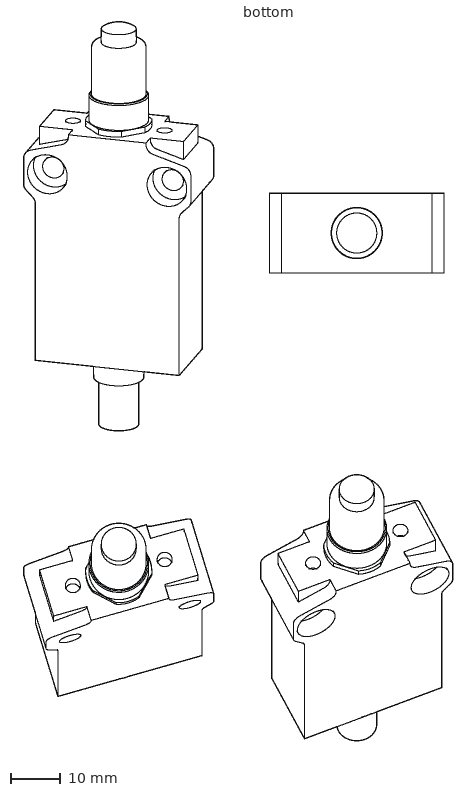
import cadquery as cq
import math

CABLE_LENGTH = 10.0
BOOT_HEIGHT = 4.8
HOUSING_BOTTOM = CABLE_LENGTH + BOOT_HEIGHT
HOUSING_HEIGHT = 49.0
HOUSING_TOP = HOUSING_BOTTOM + HOUSING_HEIGHT
OVERALL_HEIGHT = 85.6

THICKNESS = 16.0
BODY_HALF_WIDTH = 15.1
EAR_SPAN = 35.0
EAR_HALF_WIDTH = EAR_SPAN / 2
EAR_FLARE = EAR_HALF_WIDTH - BODY_HALF_WIDTH
EAR_DROP = 12.2
EAR_BOTTOM = HOUSING_TOP - EAR_DROP
FLARE_BOTTOM = EAR_BOTTOM - EAR_FLARE
EAR_BLEND_RADIUS = 1.7
EAR_CORNER_RADIUS = 2.0

SHOULDER_WALL_X = 8.1
SHOULDER_DROP = 3.85
SHOULDER_ANGLE = 16.0
TONGUE_THICKNESS = 10.0

MOUNT_HOLE_X = 12.5
MOUNT_HOLE_DROP = 8.9
MOUNT_HOLE_DIAMETER = 4.45
COUNTERBORE_DIAMETER = 8.3
COUNTERBORE_DEPTH = 4.0
SCREW_HOLE_X = 9.6
SCREW_HOLE_DIAMETER = 3.0
SCREW_HOLE_DEPTH = 4.0

FLANGE_HEIGHT = 1.2
FLANGE_DIAMETER = 13.3
FLANGE_ACROSS_FLATS = 12.15
FLANGE_TURN = 45.0
COLLAR_RADIUS = 6.0
COLLAR_HEIGHT = 6.8
COLLAR_TOP = HOUSING_TOP + COLLAR_HEIGHT
COLLAR_CHAMFER = 0.25
SLEEVE_RADIUS = 5.5
SLEEVE_TOP = 81.6
SLEEVE_ROUND = 1.0
PLUNGER_RADIUS = 3.5
PLUNGER_EDGE = 84.5
DOME_RISE = OVERALL_HEIGHT - PLUNGER_EDGE

BOOT_TOP_RADIUS = 5.1
BOOT_BOTTOM_RADIUS = 5.05
CABLE_RADIUS = 4.0


def shoulder_height(x):
    """Height of the sloping shoulder plane at distance x from the centre."""
    slope = math.tan(math.radians(SHOULDER_ANGLE))
    return HOUSING_TOP - SHOULDER_DROP - (x - BODY_HALF_WIDTH) * slope


def extrude_outline(points, thickness):
    """Extrude an XZ outline along Y, centred on the XZ plane."""
    return cq.Workplane("XZ").polyline(points).close().extrude(thickness / 2, both=True)


def round_edges_at(body, x, z, radius):
    """Round the Y-parallel edges that stand at (+x, z) and (-x, z)."""
    for side in (-1, 1):
        body = body.edges(cq.selectors.NearestToPointSelector((side * x, 0, z))).fillet(radius)
    return body


def make_profile_plate():
    """Housing plate with flared ears below two sloping shoulders."""
    right_side = [
        (BODY_HALF_WIDTH, HOUSING_BOTTOM),
        (BODY_HALF_WIDTH, FLARE_BOTTOM),
        (EAR_HALF_WIDTH, EAR_BOTTOM),
        (EAR_HALF_WIDTH, shoulder_height(EAR_HALF_WIDTH)),
        (SHOULDER_WALL_X, shoulder_height(SHOULDER_WALL_X)),
        (SHOULDER_WALL_X, HOUSING_TOP),
    ]
    left_side = [(-x, z) for x, z in reversed(right_side)]
    plate = extrude_outline(right_side + left_side, THICKNESS)
    plate = round_edges_at(plate, BODY_HALF_WIDTH, FLARE_BOTTOM, EAR_BLEND_RADIUS)
    plate = round_edges_at(plate, EAR_HALF_WIDTH, EAR_BOTTOM, EAR_BLEND_RADIUS)
    plate = round_edges_at(plate, EAR_HALF_WIDTH, shoulder_height(EAR_HALF_WIDTH), EAR_CORNER_RADIUS)
    return round_edges_at(plate, SHOULDER_WALL_X, shoulder_height(SHOULDER_WALL_X), EAR_CORNER_RADIUS)


def make_tongue():
    """Bar that keeps the middle of the housing full height out to the body sides."""
    return (
        cq.Workplane("XY")
        .workplane(offset=EAR_BOTTOM)
        .rect(2 * BODY_HALF_WIDTH, TONGUE_THICKNESS)
        .extrude(EAR_DROP)
    )


def cut_mounting_holes(housing):
    """Through holes along Y, counterbored on the -Y face."""
    hole_origin = (0, -THICKNESS / 2, HOUSING_TOP - MOUNT_HOLE_DROP)
    return (
        housing.copyWorkplane(cq.Workplane("XZ", origin=hole_origin))
        .pushPoints([(-MOUNT_HOLE_X, 0), (MOUNT_HOLE_X, 0)])
        .cboreHole(MOUNT_HOLE_DIAMETER, COUNTERBORE_DIAMETER, COUNTERBORE_DEPTH)
    )


def cut_screw_holes(housing):
    """Blind holes in the top face, one on each side of the head."""
    return (
        housing.copyWorkplane(cq.Workplane("XY", origin=(0, 0, HOUSING_TOP)))
        .pushPoints([(-SCREW_HOLE_X, 0), (SCREW_HOLE_X, 0)])
        .hole(SCREW_HOLE_DIAMETER, SCREW_HOLE_DEPTH)
    )


def make_housing():
    housing = make_profile_plate().union(make_tongue())
    return cut_screw_holes(cut_mounting_holes(housing))


def make_flange():
    """Round flange with four flats, turned to face the housing corners."""
    base = cq.Workplane("XY").workplane(offset=HOUSING_TOP)
    disc = base.circle(FLANGE_DIAMETER / 2).extrude(FLANGE_HEIGHT)
    square = base.rect(FLANGE_ACROSS_FLATS, FLANGE_ACROSS_FLATS).extrude(FLANGE_HEIGHT)
    return disc.intersect(square.rotate((0, 0, 0), (0, 0, 1), FLANGE_TURN))


def make_head():
    """Flange, collar, sleeve and domed plunger."""
    dome_radius = (PLUNGER_RADIUS**2 + DOME_RISE**2) / (2 * DOME_RISE)
    mid_x = PLUNGER_RADIUS / 2
    dome_mid = (mid_x, OVERALL_HEIGHT - dome_radius + math.sqrt(dome_radius**2 - mid_x**2))
    round_centre_x = SLEEVE_RADIUS - SLEEVE_ROUND
    round_centre_z = SLEEVE_TOP - SLEEVE_ROUND
    round_offset = SLEEVE_ROUND * math.sqrt(0.5)
    turned = (
        cq.Workplane("XZ")
        .moveTo(0, HOUSING_TOP)
        .lineTo(COLLAR_RADIUS, HOUSING_TOP)
        .lineTo(COLLAR_RADIUS, COLLAR_TOP - COLLAR_CHAMFER)
        .lineTo(COLLAR_RADIUS - COLLAR_CHAMFER, COLLAR_TOP)
        .lineTo(SLEEVE_RADIUS, COLLAR_TOP)
        .lineTo(SLEEVE_RADIUS, round_centre_z)
        .threePointArc(
            (round_centre_x + round_offset, round_centre_z + round_offset),
            (round_centre_x, SLEEVE_TOP),
        )
        .lineTo(PLUNGER_RADIUS, SLEEVE_TOP)
        .lineTo(PLUNGER_RADIUS, PLUNGER_EDGE)
        .threePointArc(dome_mid, (0, OVERALL_HEIGHT))
        .close()
        .revolve()
    )
    return make_flange().union(turned)


def make_cable():
    """Cable stub with a slightly tapered boot under the housing."""
    return (
        cq.Workplane("XZ")
        .polyline([
            (0, 0),
            (CABLE_RADIUS, 0),
            (CABLE_RADIUS, CABLE_LENGTH),
            (BOOT_BOTTOM_RADIUS, CABLE_LENGTH),
            (BOOT_TOP_RADIUS, HOUSING_BOTTOM),
            (0, HOUSING_BOTTOM),
        ])
        .close()
        .revolve()
    )


housing = make_housing()
head = make_head()
cable = make_cable()

result = cq.Compound.makeCompound([housing.val(), head.val(), cable.val()])